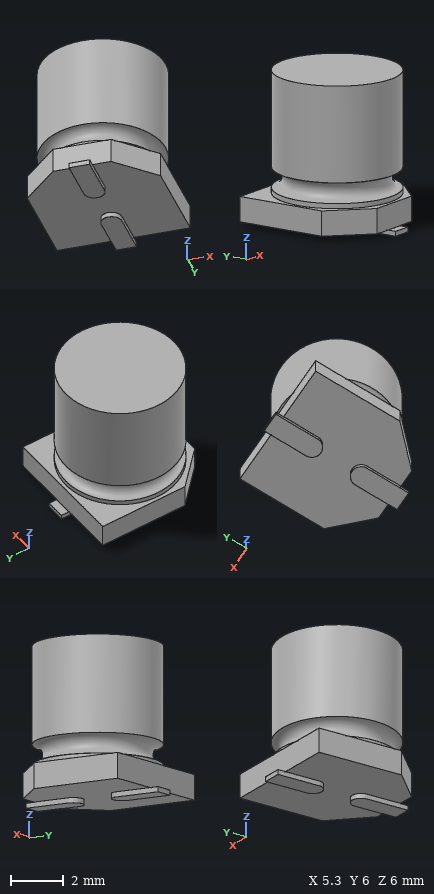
import cadquery as cq

total_height = 6.0
base_width = 5.3
base_thickness = 1.0
base_chamfer = 1.5

can_radius = 2.5
groove_radius = 0.4
foot_rim_height = 0.2

lead_thickness = 0.2
lead_width = 0.82
lead_span = 6.0
lead_gap = 1.4

base_bottom = lead_thickness
base_top = base_bottom + base_thickness
groove_bottom = base_top + foot_rim_height
groove_middle = groove_bottom + groove_radius
groove_top = groove_middle + groove_radius


def make_base():
    """Square plate with the two corners on the -Y side cut off."""
    plate = (
        cq.Workplane("XY")
        .workplane(offset=base_bottom)
        .rect(base_width, base_width)
        .extrude(base_thickness)
    )
    return plate.edges("|Z and <Y").chamfer(base_chamfer)


def make_can():
    """Solid can, revolved about Z, with the groove just above the base."""
    profile = (
        cq.Workplane("XZ")
        .moveTo(0, base_top)
        .lineTo(can_radius, base_top)
        .lineTo(can_radius, groove_bottom)
        .threePointArc((can_radius - groove_radius, groove_middle), (can_radius, groove_top))
        .lineTo(can_radius, total_height)
        .lineTo(0, total_height)
        .close()
    )
    return profile.revolve(360, (0, 0, 0), (0, 1, 0))


def make_lead(side):
    """Terminal strip with a fully rounded inner end; side is +1 for +Y, -1 for -Y."""
    half_width = lead_width / 2
    outer_y = side * lead_span / 2
    tip_y = side * lead_gap / 2
    round_start_y = tip_y + side * half_width
    return (
        cq.Workplane("XY")
        .moveTo(-half_width, outer_y)
        .lineTo(-half_width, round_start_y)
        .threePointArc((0, tip_y), (half_width, round_start_y))
        .lineTo(half_width, outer_y)
        .close()
        .extrude(lead_thickness)
    )


result = make_base().union(make_can())
for side in (1, -1):
    result = result.union(make_lead(side))